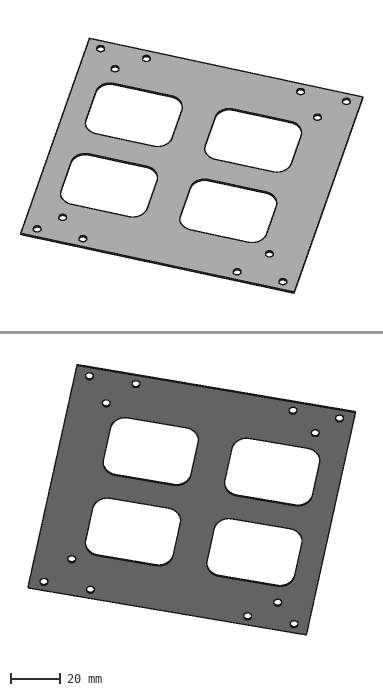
import cadquery as cq

plate_length = 115.0
plate_width = 105.0
plate_thickness = 1.0

window_length = 36.1
window_width = 27.1
window_corner_radius = 6.0
window_column_pitch = 50.1
window_row_pitch = 38.0
window_group_x = -4.5

hole_diameter = 3.2
edge_hole_y = 48.5
outer_edge_hole_x = 51.6
inner_edge_hole_x = 32.4
left_hole_x = -43.2
left_hole_y = 40.0
right_hole_x = 42.5
right_upper_hole_y = 37.5
right_lower_hole_y = -36.1


def make_plate():
    return cq.Workplane("XY").box(
        plate_length, plate_width, plate_thickness, centered=(True, True, False)
    )


def make_windows():
    """Solids that cut the two-by-two group of windows."""
    return (
        cq.Workplane("XY")
        .center(window_group_x, 0)
        .rarray(window_column_pitch, window_row_pitch, 2, 2)
        .rect(window_length, window_width)
        .extrude(plate_thickness)
        .edges("|Z")
        .fillet(window_corner_radius)
    )


def make_holes():
    """Cylinders that cut the edge rows and the four inner holes."""
    edge_points = [
        (side_x * x, side_y * edge_hole_y)
        for side_x in (-1, 1)
        for side_y in (-1, 1)
        for x in (inner_edge_hole_x, outer_edge_hole_x)
    ]
    inner_points = [
        (left_hole_x, left_hole_y),
        (left_hole_x, -left_hole_y),
        (right_hole_x, right_upper_hole_y),
        (right_hole_x, right_lower_hole_y),
    ]
    return (
        cq.Workplane("XY")
        .pushPoints(edge_points + inner_points)
        .circle(hole_diameter / 2)
        .extrude(plate_thickness)
    )


result = make_plate().cut(make_windows()).cut(make_holes())